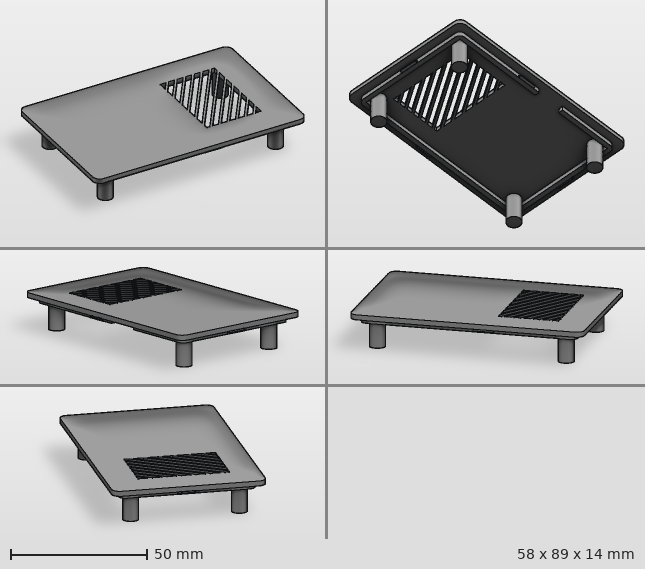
import cadquery as cq
import math

plate_width = 58.0
plate_length = 89.0
plate_thickness = 2.0
plate_corner_radius = 3.0

total_height = 14.0

lip_inset = 3.3
lip_height = 2.05
lip_wall = 2.0
lip_corner_radius = 2.5
lip_width = plate_width - 2 * lip_inset
lip_length = plate_length - 2 * lip_inset

notch_width = 12.55
notch_y = -7.2

tab_width = 8.0
tab_height = 1.0
tab_reach = 1.1
tab_taper = 15.0
tab_z = -3.5
side_tab_y = 6.0

leg_diameter = 6.0
leg_spacing_x = 41.0
leg_spacing_y = 72.0

window_width = 34.5
window_length = 23.0
window_x = -0.5
window_y = 20.6
slat_width = 1.0
slat_pitch = 3.0
slats_per_half = 6


def make_plate():
    plate = cq.Workplane("XY").rect(plate_width, plate_length).extrude(-plate_thickness)
    return plate.edges("|Z").fillet(plate_corner_radius)


def make_lip():
    lip_plane = cq.Workplane("XY").workplane(offset=-plate_thickness)
    outer = lip_plane.rect(lip_width, lip_length).extrude(-lip_height)
    outer = outer.edges("|Z").fillet(lip_corner_radius)
    inner = lip_plane.rect(lip_width - 2 * lip_wall, lip_length - 2 * lip_wall).extrude(-lip_height)
    notch = lip_plane.center(-lip_width / 2, notch_y).rect(2 * lip_wall, notch_width).extrude(-lip_height)
    return outer.cut(inner).cut(notch)


def make_tab(x, y, outward):
    """Tapered tab rooted at (x, y) on the lip and pointing along the outward direction."""
    along = (-outward[1], outward[0], 0)
    root = cq.Plane(origin=(x, y, tab_z), xDir=along, normal=outward)
    return cq.Workplane(root).rect(tab_width, tab_height).extrude(tab_reach, taper=tab_taper)


def make_legs():
    legs = cq.Workplane("XY").workplane(offset=-plate_thickness)
    legs = legs.rect(leg_spacing_x, leg_spacing_y, forConstruction=True).vertices()
    return legs.circle(leg_diameter / 2).extrude(plate_thickness - total_height)


def make_grille_openings():
    """Window volume with the diagonal slats left out of it."""
    window = cq.Workplane("XY").center(window_x, window_y)
    openings = window.rect(window_width, window_length).extrude(-plate_thickness)
    diagonal = math.hypot(window_width, window_length)
    angle = math.degrees(math.atan2(window_length, window_width))
    slat_plane = window.transformed(rotate=(0, 0, -angle))
    for step in range(slats_per_half):
        offset = (step + 0.5) * slat_pitch
        slats = slat_plane.pushPoints([(0, offset), (0, -offset)])
        openings = openings.cut(slats.rect(diagonal, slat_width).extrude(-plate_thickness))
    return openings


result = make_plate().cut(make_grille_openings()).union(make_lip()).union(make_legs())
for side in (-1, 1):
    result = result.union(make_tab(side * lip_width / 2, side_tab_y, (side, 0, 0)))
    result = result.union(make_tab(0, side * lip_length / 2, (0, side, 0)))